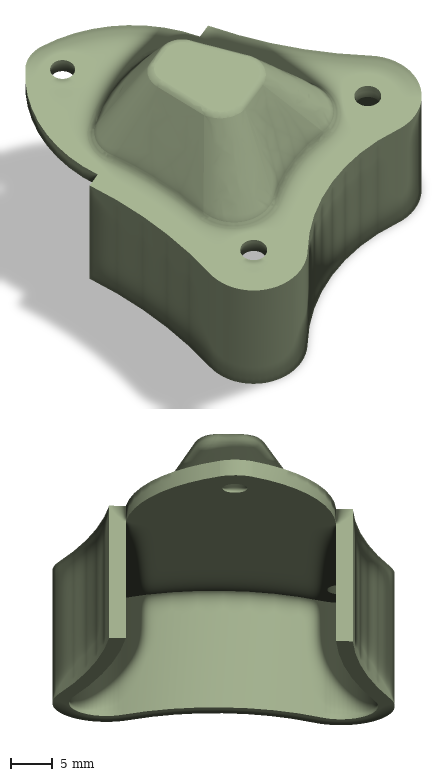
import cadquery as cq
import math

AXIS_ANGLE = 16.1

PLATE_THICKNESS = 2.0
WALL_THICKNESS = 2.0
SKIRT_HEIGHT = 17.0
LOBE_X = 34.15
LOBE_Y = 14.13
LOBE_RADIUS = 6.5
REAR_DEPTH = 2.95
FLANK_RADIUS = 53.9
FLANK_TANGENT_ANGLE = 116.0
WALL_END_X = 11.9
NOSE_RADIUS = 4.5
NOSE_TANGENT_ANGLE = 154.0

LOBE_HOLE_DIAMETER = 3.25
NOSE_HOLE_DIAMETER = 3.0

DOME_HEIGHT = 10.0
DOME_FILLET = 1.0
FOOT_POINTS = [(7.65, 6.0), (12.3, 9.75), (26.35, 12.45), (32.8, 6.35)]
FOOT_BULGES = {"nose": 0.9, "nose_corner": 1.1, "flank": -0.52, "rear_corner": 2.45, "rear": -0.95}
TOP_POINTS = [(13.05, 1.3), (15.6, 3.95), (22.35, 5.15), (26.05, 2.0)]
TOP_BULGES = {"nose": 0, "nose_corner": 0.65, "flank": 0, "rear_corner": 1.15, "rear": 0}


def polar(radius, degrees):
    angle = math.radians(degrees)
    return cq.Vector(radius * math.cos(angle), radius * math.sin(angle))


def xy(point):
    return (point.x, point.y)


def mirrored(point):
    return (point[0], -point[1])


def wall_profile(inset):
    """Outline of the lobed body with its flanks, lobes and rear moved inward by inset.

    Returns the closed outline and the end of its flank on the nose side.
    """
    lobe = cq.Vector(LOBE_X, LOBE_Y)
    lobe_radius = LOBE_RADIUS - inset

    flank_radius = FLANK_RADIUS + inset
    flank_center = lobe + polar(LOBE_RADIUS + FLANK_RADIUS, FLANK_TANGENT_ANGLE)

    def flank_point(x):
        drop = math.sqrt(flank_radius**2 - (x - flank_center.x) ** 2)
        return (x, flank_center.y - drop)

    flank_end = xy(lobe + polar(lobe_radius, FLANK_TANGENT_ANGLE))
    flank_start = flank_point(WALL_END_X)
    flank_middle = flank_point((WALL_END_X + flank_end[0]) / 2)

    rear_radius = (LOBE_Y**2 + REAR_DEPTH**2 - LOBE_RADIUS**2) / (2 * (LOBE_RADIUS - REAR_DEPTH))
    rear_angle = math.degrees(math.atan2(-LOBE_Y, REAR_DEPTH + rear_radius))
    rear_start = xy(lobe + polar(lobe_radius, rear_angle))
    rear_middle = (LOBE_X + REAR_DEPTH - inset, 0)
    lobe_middle = xy(lobe + polar(lobe_radius, (FLANK_TANGENT_ANGLE + rear_angle) / 2))

    outline = (
        cq.Workplane("XY")
        .moveTo(*flank_start)
        .threePointArc(flank_middle, flank_end)
        .threePointArc(lobe_middle, rear_start)
        .threePointArc(rear_middle, mirrored(rear_start))
        .threePointArc(mirrored(lobe_middle), mirrored(flank_end))
        .threePointArc(mirrored(flank_middle), mirrored(flank_start))
        .close()
    )
    return outline, flank_start


def make_body():
    """Plate with its nose, and the skirt wall below it, open at the nose side."""
    outer, _ = wall_profile(0)
    inner, inner_end = wall_profile(WALL_THICKNESS)
    body = outer.extrude(-SKIRT_HEIGHT)
    cavity = inner.extrude(PLATE_THICKNESS - SKIRT_HEIGHT)
    cavity = cavity.translate((0, 0, -PLATE_THICKNESS))
    return body.cut(cavity).union(make_nose(inner_end))


def make_nose(side_end):
    """Plate in front of the skirt: a round tip with an arc down either side."""
    tip = (-NOSE_RADIUS, 0)
    side_start = polar(NOSE_RADIUS, NOSE_TANGENT_ANGLE)
    outward = polar(1, NOSE_TANGENT_ANGLE)
    chord = cq.Vector(*side_end) - side_start
    side_radius = -chord.dot(chord) / (2 * chord.dot(outward))
    side_center = side_start - outward * side_radius
    across = side_start + chord * 0.5 - side_center
    side_middle = xy(side_center + across.normalized() * side_radius)
    side_start = xy(side_start)
    return (
        cq.Workplane("XY")
        .moveTo(*side_end)
        .threePointArc(side_middle, side_start)
        .threePointArc(tip, mirrored(side_start))
        .threePointArc(mirrored(side_middle), mirrored(side_end))
        .close()
        .extrude(-PLATE_THICKNESS)
    )


def dome_section(points, bulges, height):
    """Closed wire of a dome section, symmetric about the X axis."""
    corners = points + [mirrored(point) for point in reversed(points)]
    half_sides = ["nose_corner", "flank", "rear_corner"]
    sides = half_sides + ["rear"] + half_sides[::-1] + ["nose"]
    section = cq.Workplane("XY", origin=(0, 0, height)).moveTo(*corners[0])
    for side, end in zip(sides, corners[1:] + corners[:1]):
        if bulges[side]:
            section = section.sagittaArc(end, bulges[side])
        else:
            section = section.lineTo(*end)
    return section.wire().val()


def add_dome(body):
    foot = dome_section(FOOT_POINTS, FOOT_BULGES, 0)
    top = dome_section(TOP_POINTS, TOP_BULGES, DOME_HEIGHT)
    dome = cq.Workplane(cq.Solid.makeLoft([foot, top], True))
    dome = dome.faces(">Z").edges().fillet(DOME_FILLET)
    joined = body.union(dome)

    level_faces = joined.faces("|Z").vals()
    plate_face = min(level_faces, key=lambda face: abs(face.Center().z))
    foot_edges = plate_face.innerWires()[0].Edges()
    return joined.newObject([joined.val().fillet(DOME_FILLET, foot_edges)])


def cut_holes(body):
    lobe_holes = [(LOBE_X, LOBE_Y), (LOBE_X, -LOBE_Y)]
    body = body.cut(drill(lobe_holes, LOBE_HOLE_DIAMETER))
    return body.cut(drill([(0, 0)], NOSE_HOLE_DIAMETER))


def drill(centers, diameter):
    return cq.Workplane("XY").pushPoints(centers).circle(diameter / 2).extrude(-PLATE_THICKNESS)


part = cut_holes(add_dome(make_body()))
result = part.rotate((0, 0, 0), (0, 0, 1), AXIS_ANGLE)